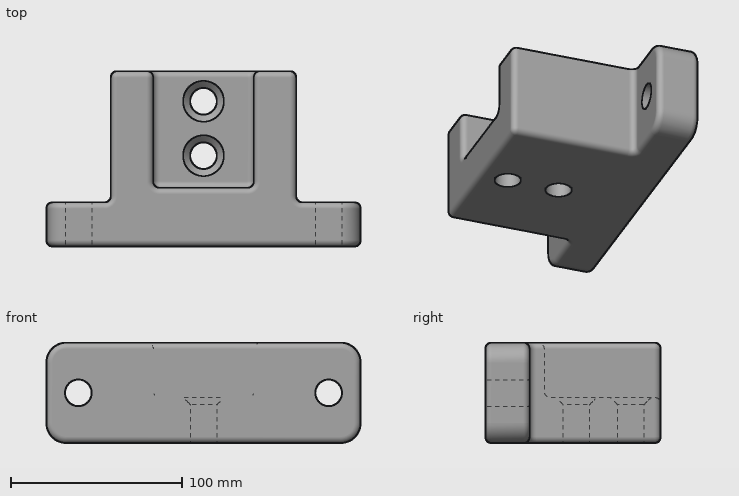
import cadquery as cq

length = 183.6
depth = 102.5
height = 58.8

flange_thickness = 25.9
flange_corner_radius = 11.8
flange_hole_spacing = 146.2

block_width = 108.3
pocket_width = 58.8
pocket_start = 34.3
pocket_depth = 32.0

hole_diameter = 15.5
countersink_diameter = 23.9
countersink_angle = 90.0
block_hole_places = (53.0, 84.8)

edge_radius = 3.7


def box(width, start, end, bottom, top):
    """Box centred on X, running from start to end in Y and bottom to top in Z."""
    return cq.Workplane("XY").box(
        width, end - start, top - bottom, centered=(True, False, False)
    ).translate((0, start, bottom))


top_face = height / 2
pocket_floor = top_face - pocket_depth

flange = box(length, 0, flange_thickness, -top_face, top_face)
flange = flange.edges("|Y").fillet(flange_corner_radius)

block = box(block_width, 0, depth, -top_face, top_face)
pocket = box(pocket_width, pocket_start, depth, pocket_floor, top_face)
body = flange.union(block).cut(pocket).clean()

flange_middle = flange_thickness / 2
corner_seams = cq.selectors.BoxSelector(
    (-length, flange_middle - edge_radius, -height),
    (length, flange_middle + edge_radius, height),
)
rounded_edges = cq.selectors.SubtractSelector(cq.selectors.Selector(), corner_seams)
body = body.edges(rounded_edges).fillet(edge_radius)

flange_holes = (
    cq.Workplane("XZ")
    .pushPoints([(side * flange_hole_spacing / 2, 0) for side in (-1, 1)])
    .circle(hole_diameter / 2)
    .extrude(-flange_thickness)
)
body = body.cut(flange_holes)

pocket_floor_face = cq.selectors.NearestToPointSelector(
    (0, (pocket_start + depth) / 2, pocket_floor)
)
result = (
    body.faces(pocket_floor_face)
    .workplane(origin=(0, 0, pocket_floor))
    .pushPoints([(0, place) for place in block_hole_places])
    .cskHole(hole_diameter, countersink_diameter, countersink_angle)
)